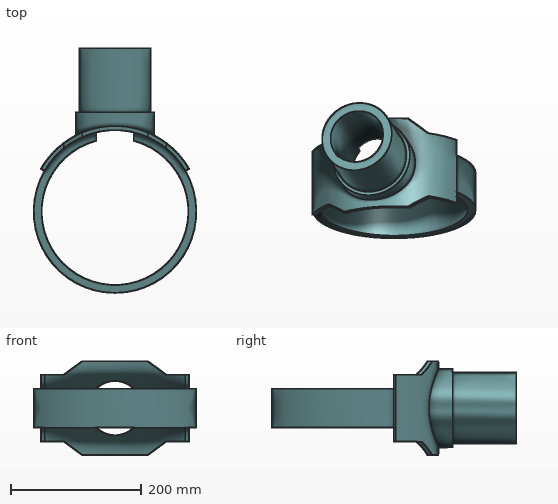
import cadquery as cq
import math

RING_OUTER_RADIUS = 125.0
RING_WALL = 12.5
RING_HEIGHT = 60.0

SADDLE_THICKNESS = 6.5
SADDLE_HALF_ANGLE = 60.0
SADDLE_WING_HEIGHT = 103.0
SADDLE_CENTRE_HEIGHT = 144.0
SADDLE_CENTRE_WIDTH = 101.0
SADDLE_SLOPE_WIDTH = 157.0

PIPE_DIAMETER = 110.0
PIPE_BORE_DIAMETER = 83.0
PIPE_END_Y = 251.0
COLLAR_DIAMETER = 121.0
COLLAR_END_Y = 153.0

SADDLE_OUTER_RADIUS = RING_OUTER_RADIUS + SADDLE_THICKNESS


def cylinder_z(radius, height):
    """Cylinder about the Z axis, centred on the XY plane."""
    return cq.Workplane("XY").circle(radius).extrude(height / 2, both=True)


def cylinder_y(diameter, end_y):
    """Cylinder about the Y axis, from the ring centre out to end_y."""
    return cq.Workplane("XZ").circle(diameter / 2).extrude(-end_y)


def make_ring():
    inner_radius = RING_OUTER_RADIUS - RING_WALL
    return cylinder_z(RING_OUTER_RADIUS, RING_HEIGHT).cut(cylinder_z(inner_radius, RING_HEIGHT))


def arc_point(radius, angle):
    """Point at an angle in degrees measured from +Y towards +X."""
    return (radius * math.sin(math.radians(angle)), radius * math.cos(math.radians(angle)))


def make_saddle():
    """Curved plate with radial ends, trimmed to a stepped outline in the XZ plane."""
    shell = (
        cq.Workplane("XY")
        .moveTo(*arc_point(RING_OUTER_RADIUS, -SADDLE_HALF_ANGLE))
        .threePointArc((0, RING_OUTER_RADIUS), arc_point(RING_OUTER_RADIUS, SADDLE_HALF_ANGLE))
        .lineTo(*arc_point(SADDLE_OUTER_RADIUS, SADDLE_HALF_ANGLE))
        .threePointArc((0, SADDLE_OUTER_RADIUS), arc_point(SADDLE_OUTER_RADIUS, -SADDLE_HALF_ANGLE))
        .close()
        .extrude(SADDLE_CENTRE_HEIGHT / 2, both=True)
    )
    half_centre = SADDLE_CENTRE_WIDTH / 2
    half_slope = SADDLE_SLOPE_WIDTH / 2
    centre_top = SADDLE_CENTRE_HEIGHT / 2
    wing_top = SADDLE_WING_HEIGHT / 2
    upper_edge = [
        (-SADDLE_OUTER_RADIUS, wing_top),
        (-half_slope, wing_top),
        (-half_centre, centre_top),
        (half_centre, centre_top),
        (half_slope, wing_top),
        (SADDLE_OUTER_RADIUS, wing_top),
    ]
    lower_edge = [(x, -z) for x, z in reversed(upper_edge)]
    outline = cq.Workplane("XZ").polyline(upper_edge + lower_edge).close().extrude(-SADDLE_OUTER_RADIUS)
    return shell.intersect(outline)


def make_branch():
    """Pipe and collar, both ending on the outer face of the saddle."""
    branch = cylinder_y(PIPE_DIAMETER, PIPE_END_Y).union(cylinder_y(COLLAR_DIAMETER, COLLAR_END_Y))
    return branch.cut(cylinder_z(SADDLE_OUTER_RADIUS, SADDLE_CENTRE_HEIGHT))


bore = cylinder_y(PIPE_BORE_DIAMETER, PIPE_END_Y)
result = make_ring().union(make_saddle()).union(make_branch()).cut(bore)